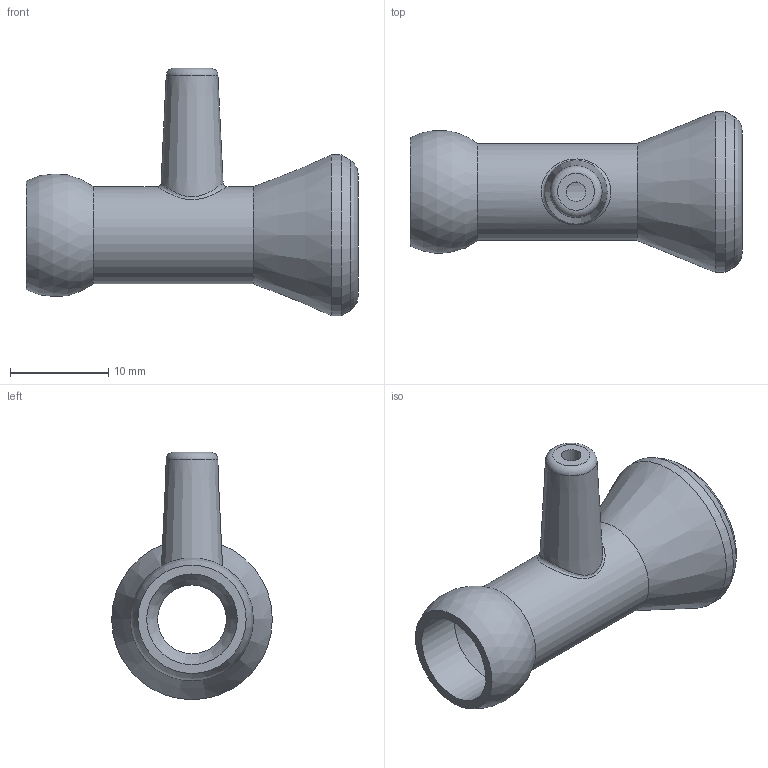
import cadquery as cq
import math

total_length = 33.83

ball_radius = 6.28
ball_center_x = 3.0

tube_radius = 4.95
flare_start_x = 23.17
flare_radius = 8.19
rim_start_x = 31.1
rim_band_width = 1.0
rim_bevel_length = 0.92
rim_bevel_angle = 30.0

socket_radius = 4.62
socket_depth = 4.7
bore_radius = 3.5
socket_taper_length = 1.94

nozzle_x = 16.92
nozzle_top_z = 17.02
nozzle_top_radius = 2.6
nozzle_taper_angle = 2.75
nozzle_top_round = 0.75
nozzle_base_fillet = 0.4
nozzle_hole_radius = 1.0


def revolve_about_x(profile):
    """Revolve an XY profile a full turn about the X axis."""
    return profile.close().revolve(360, (0, 0, 0), (1, 0, 0))


def make_body():
    """Solid ball, tube and flare, without the bore."""
    ball_face_radius = math.sqrt(ball_radius**2 - ball_center_x**2)
    tube_start_x = ball_center_x + math.sqrt(ball_radius**2 - tube_radius**2)
    bevel_start_x = rim_start_x + rim_band_width
    bevel_end_x = bevel_start_x + rim_bevel_length
    bevel_slope = math.radians(rim_bevel_angle)
    bevel_end_radius = flare_radius - rim_bevel_length * math.tan(bevel_slope)
    round_radius = (total_length - bevel_end_x) / (1 - math.sin(bevel_slope))
    end_face_radius = bevel_end_radius - round_radius * math.cos(bevel_slope)
    profile = (
        cq.Workplane("XY")
        .lineTo(0, ball_face_radius)
        .threePointArc((ball_center_x, ball_radius), (tube_start_x, tube_radius))
        .lineTo(flare_start_x, tube_radius)
        .lineTo(rim_start_x, flare_radius)
        .lineTo(bevel_start_x, flare_radius)
        .lineTo(bevel_end_x, bevel_end_radius)
        .radiusArc((total_length, end_face_radius), round_radius)
        .lineTo(total_length, 0)
    )
    return revolve_about_x(profile)


def make_nozzle():
    """Tapered nozzle with a rounded tip, reaching down to the main axis."""
    root_radius = nozzle_top_radius + nozzle_top_z * math.tan(math.radians(nozzle_taper_angle))
    nozzle = (
        cq.Workplane("XY", origin=(nozzle_x, 0, 0))
        .circle(root_radius)
        .extrude(nozzle_top_z, taper=nozzle_taper_angle)
    )
    return nozzle.faces(">Z").edges().fillet(nozzle_top_round)


def fillet_nozzle_base(solid):
    """Round the seam where the nozzle meets the tube."""
    reach = 2 * nozzle_top_radius
    near_seam = cq.selectors.BoxSelector(
        (nozzle_x - reach, -reach, 0),
        (nozzle_x + reach, reach, tube_radius + nozzle_top_round),
        boundingbox=True,
    )
    return solid.edges(near_seam).fillet(nozzle_base_fillet)


def make_bore():
    """Through bore with the socket at the ball end."""
    taper_end_x = socket_depth + socket_taper_length
    profile = (
        cq.Workplane("XY")
        .lineTo(0, socket_radius)
        .lineTo(socket_depth, socket_radius)
        .lineTo(taper_end_x, bore_radius)
        .lineTo(total_length, bore_radius)
        .lineTo(total_length, 0)
    )
    return revolve_about_x(profile)


def make_nozzle_hole():
    """Hole from the nozzle tip into the main bore."""
    return (
        cq.Workplane("XY", origin=(nozzle_x, 0, 0))
        .circle(nozzle_hole_radius)
        .extrude(nozzle_top_z)
    )


outer_shape = fillet_nozzle_base(make_body().union(make_nozzle()))
result = outer_shape.cut(make_bore()).cut(make_nozzle_hole())